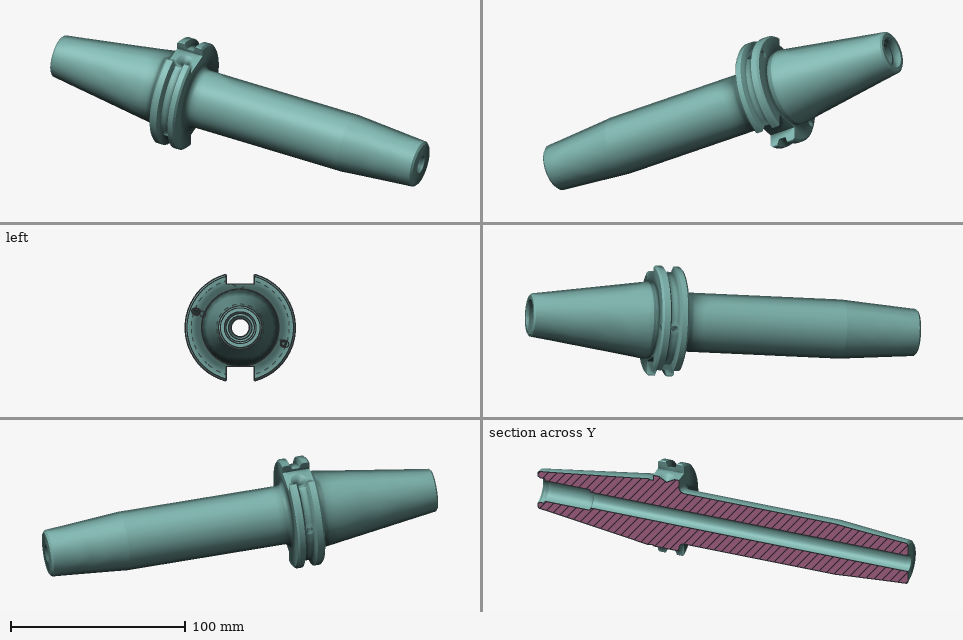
import cadquery as cq
import math

overall_length = 228.2

taper_length = 68.2
gauge_diameter = 44.5
taper_ratio = 7 / 24
small_end_radius = (gauge_diameter - taper_ratio * taper_length) / 2
small_end_chamfer = 1.0
relief_diameter = 43.5
relief_start = 69.6

flange_start = 71.2
flange_end = 87.2
flange_diameter = 63.5
flange_chamfer = 1.1
groove_centre = 79.5
groove_mouth_width = 7.0
groove_floor_width = 4.0
groove_floor_diameter = 56.1

shank_diameter = 34.0
shank_fillet = 3.2
cone_start = 183.5
nose_diameter = 27.0
nose_chamfer = 1.1

mouth_diameter = 18.3
mouth_depth = 1.5
pilot_diameter = 16.2
pilot_depth = 4.3
thread_core_diameter = 13.5
thread_depth = 32.0
through_diameter = 10.3
drill_point_angle = 118.0

slot_width = 16.0
slot_edge_chamfer = 0.5
upper_slot_floor = 25.0
lower_slot_floor = 22.4
dimple_diameter = 9.5

inlet_circle_radius = 27.2
inlet_angle = 20.0
inlet_tilt = 30.0
inlet_mouth_diameter = 4.0
inlet_mouth_depth = 1.5
inlet_channel_diameter = 2.5
screw_mouth_diameter = 4.0
screw_mouth_depth = 1.1
screw_core_diameter = 3.2


def make_body():
    relief_radius = relief_diameter / 2
    flange_radius = flange_diameter / 2
    shank_radius = shank_diameter / 2
    nose_radius = nose_diameter / 2
    groove_floor_radius = groove_floor_diameter / 2
    groove_floor_half = groove_floor_width / 2
    groove_mouth_half = groove_mouth_width / 2
    chamfer_end_radius = small_end_radius + small_end_chamfer * taper_ratio / 2
    cone_slope = (shank_radius - nose_radius) / (overall_length - cone_start)
    fillet_sag = shank_fillet * (1 - math.sqrt(0.5))

    outline = (
        cq.Workplane("XY")
        .moveTo(0, 0)
        .lineTo(0, small_end_radius - small_end_chamfer)
        .lineTo(small_end_chamfer, chamfer_end_radius)
        .lineTo(taper_length, gauge_diameter / 2)
        .lineTo(relief_start, relief_radius)
        .lineTo(flange_start, relief_radius)
        .lineTo(flange_start, flange_radius - flange_chamfer)
        .lineTo(flange_start + flange_chamfer, flange_radius)
        .lineTo(groove_centre - groove_mouth_half, flange_radius)
        .lineTo(groove_centre - groove_floor_half, groove_floor_radius)
        .lineTo(groove_centre + groove_floor_half, groove_floor_radius)
        .lineTo(groove_centre + groove_mouth_half, flange_radius)
        .lineTo(flange_end - flange_chamfer, flange_radius)
        .lineTo(flange_end, flange_radius - flange_chamfer)
        .lineTo(flange_end, shank_radius + shank_fillet)
        .threePointArc(
            (flange_end + fillet_sag, shank_radius + fillet_sag),
            (flange_end + shank_fillet, shank_radius),
        )
        .lineTo(cone_start, shank_radius)
        .lineTo(overall_length - nose_chamfer, nose_radius + cone_slope * nose_chamfer)
        .lineTo(overall_length, nose_radius - nose_chamfer)
        .lineTo(overall_length, 0)
        .close()
    )
    return outline.revolve(360, (0, 0, 0), (1, 0, 0))


def make_bore():
    point_radius_change = (thread_core_diameter - through_diameter) / 2
    point_depth = point_radius_change / math.tan(math.radians(drill_point_angle / 2))
    outline = (
        cq.Workplane("XY")
        .moveTo(0, 0)
        .lineTo(0, mouth_diameter / 2)
        .lineTo(mouth_depth, pilot_diameter / 2)
        .lineTo(pilot_depth, pilot_diameter / 2)
        .lineTo(pilot_depth, thread_core_diameter / 2)
        .lineTo(thread_depth, thread_core_diameter / 2)
        .lineTo(thread_depth + point_depth, through_diameter / 2)
        .lineTo(overall_length, through_diameter / 2)
        .lineTo(overall_length, 0)
        .close()
    )
    return outline.revolve(360, (0, 0, 0), (1, 0, 0))


def make_slot(floor_height):
    """Slot along X that opens upward; its long edges are chamfered at the flange rim."""
    flange_radius = flange_diameter / 2
    half_width = slot_width / 2
    chamfered_half = half_width + slot_edge_chamfer
    rim_height = math.sqrt(flange_radius**2 - chamfered_half**2)
    top_half = chamfered_half + flange_radius - rim_height
    return (
        cq.Workplane("YZ", origin=(flange_start, 0, 0))
        .moveTo(-half_width, floor_height)
        .lineTo(half_width, floor_height)
        .lineTo(half_width, rim_height - slot_edge_chamfer)
        .lineTo(top_half, flange_radius)
        .lineTo(-top_half, flange_radius)
        .lineTo(-half_width, rim_height - slot_edge_chamfer)
        .close()
        .extrude(flange_end - flange_start)
    )


def make_dimple():
    dimple_radius = dimple_diameter / 2
    dimple_depth = dimple_radius / math.tan(math.radians(drill_point_angle / 2))
    cone = cq.Solid.makeCone(
        dimple_radius,
        0,
        dimple_depth,
        pnt=cq.Vector(groove_centre, 0, upper_slot_floor),
        dir=cq.Vector(0, 0, -1),
    )
    return cq.Workplane(obj=cone)


def make_rod(diameter, length, start, direction):
    return cq.Solid.makeCylinder(diameter / 2, length, cq.Vector(*start), cq.Vector(*direction))


def make_coolant_inlet():
    """Inlet in the XY plane on the +Y side; its tilted hole and radial screw hole meet below the groove."""
    tilt = math.radians(inlet_tilt)
    inlet_run = groove_centre - flange_start
    inlet_length = inlet_run / math.cos(tilt)
    meeting_radius = inlet_circle_radius - inlet_run * math.tan(tilt)
    inward = (math.cos(tilt), -math.sin(tilt), 0)
    face_point = (flange_start, inlet_circle_radius, 0)
    lead = inlet_mouth_diameter
    lead_point = (face_point[0] - lead * inward[0], face_point[1] - lead * inward[1], 0)
    mouth = make_rod(inlet_mouth_diameter, lead + inlet_mouth_depth, lead_point, inward)
    channel = make_rod(inlet_channel_diameter, inlet_length, face_point, inward)

    flange_radius = flange_diameter / 2
    mouth_bottom_radius = groove_floor_diameter / 2 - screw_mouth_depth
    groove_point = (groove_centre, flange_radius, 0)
    toward_axis = (0, -1, 0)
    screw_mouth = make_rod(
        screw_mouth_diameter, flange_radius - mouth_bottom_radius, groove_point, toward_axis
    )
    screw_core = make_rod(screw_core_diameter, flange_radius - meeting_radius, groove_point, toward_axis)
    return cq.Workplane(obj=mouth).union(channel).union(screw_mouth).union(screw_core)


result = make_body().cut(make_bore())
result = result.cut(make_slot(upper_slot_floor))
result = result.cut(make_slot(lower_slot_floor).rotate((0, 0, 0), (1, 0, 0), 180))
result = result.cut(make_dimple())
for angle in (inlet_angle, inlet_angle + 180):
    result = result.cut(make_coolant_inlet().rotate((0, 0, 0), (1, 0, 0), angle))